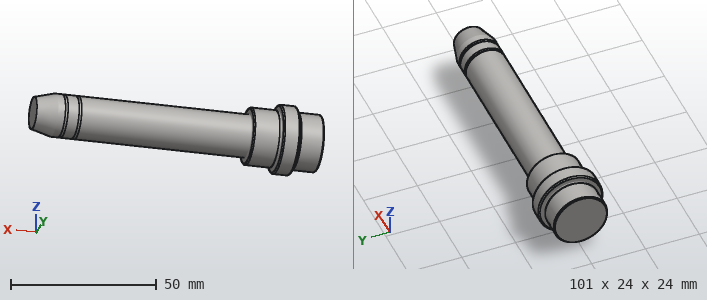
import cadquery as cq
import math

total_length = 101.0
head_length = 9.0
collar_length = 6.0
shoulder_length = 10.1
taper_length = 7.1

head_diameter = 20.0
collar_diameter = 24.0
shank_diameter = 15.0

head_chamfer = 0.4
collar_chamfer = 0.5
lead_in_chamfer = 0.5
root_fillet = 0.3
taper_angle = 15

groove_width = 0.9
groove_depth = 0.4
tip_to_first_groove = 14.9
tip_to_second_groove = 10.1

head_start = -total_length / 2
collar_start = head_start + head_length
collar_end = collar_start + collar_length
shoulder_end = collar_end + shoulder_length
tip_end = total_length / 2
taper_start = tip_end - taper_length
head_radius = head_diameter / 2
collar_radius = collar_diameter / 2
shank_radius = shank_diameter / 2
tip_radius = shank_radius - taper_length * math.tan(math.radians(taper_angle))


def cylinder(start, end, radius):
    """Solid cylinder around the X axis between two X positions."""
    return cq.Workplane("YZ", origin=(start, 0, 0)).circle(radius).extrude(end - start)


def groove_cutter(centre, radius):
    """Ring that cuts an arc-bottomed groove into a cylinder of the given radius."""
    half_width = groove_width / 2
    return (
        cq.Workplane("XY")
        .moveTo(centre - half_width, radius)
        .threePointArc((centre, radius - groove_depth), (centre + half_width, radius))
        .lineTo(centre + half_width, radius + groove_depth)
        .lineTo(centre - half_width, radius + groove_depth)
        .close()
        .revolve(360, (0, 0, 0), (1, 0, 0))
    )


def make_head():
    return cylinder(head_start, collar_start, head_radius).faces("<X").chamfer(head_chamfer)


def make_collar():
    return cylinder(collar_start, collar_end, collar_radius).edges().chamfer(collar_chamfer)


def make_shoulder():
    """Locating shoulder with a chamfered lead-in at its +X end."""
    return cylinder(collar_end, shoulder_end, head_radius).faces(">X").chamfer(lead_in_chamfer)


def make_shank():
    """Long shank with a filleted root against the shoulder and a tapered tip."""
    root_end = shoulder_end + root_fillet
    arc_offset = root_fillet * (1 - math.sqrt(0.5))
    return (
        cq.Workplane("XY")
        .moveTo(shoulder_end, 0)
        .lineTo(shoulder_end, shank_radius + root_fillet)
        .threePointArc((shoulder_end + arc_offset, shank_radius + arc_offset), (root_end, shank_radius))
        .lineTo(taper_start, shank_radius)
        .lineTo(tip_end, tip_radius)
        .lineTo(tip_end, 0)
        .close()
        .revolve(360, (0, 0, 0), (1, 0, 0))
    )


result = make_head().union(make_collar()).union(make_shoulder()).union(make_shank())

for groove_centre in (collar_start - groove_width / 2, collar_end + groove_width / 2):
    result = result.cut(groove_cutter(groove_centre, head_radius))

for tip_distance in (tip_to_first_groove, tip_to_second_groove):
    result = result.cut(groove_cutter(tip_end - tip_distance, shank_radius))